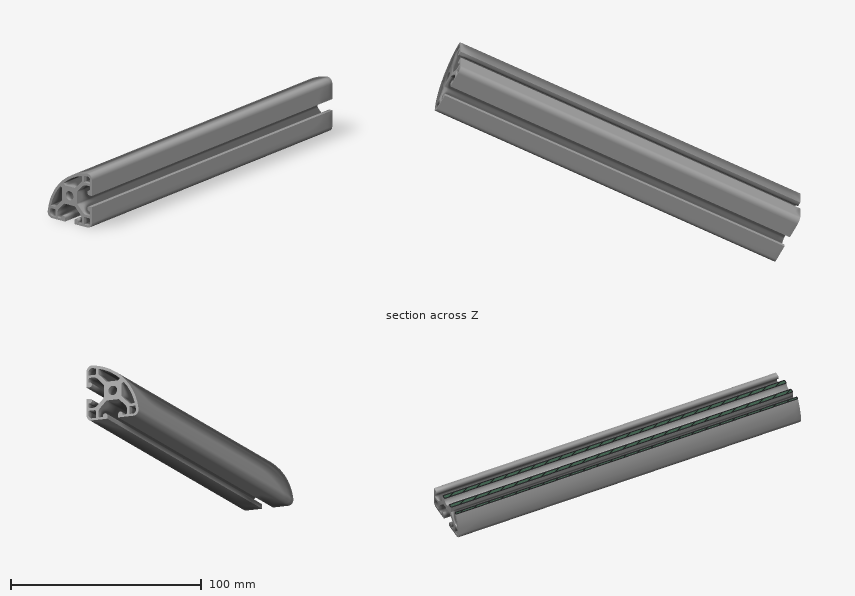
import cadquery as cq
import math

length = 200.0
size = 30.0
half = size / 2
arc_radius = size
edge_radius = 3.0

arc_wall = 1.5
face_wall = 1.2
core_half = 5.1
core_bore_diameter = 5.0
rib_thickness = 2.2
arc_rib_thickness = 2.9
pocket_fillet = 0.3

slot_opening = 6.2
slot_half_width = 8.2
lip_width = 2.6
lip_depth = 3.1
slot_fillet = 0.8
core_blend_radius = 1.0
wall_blend_radius = 3.5

chamber_start = 9.6
chamber_inner_radius = 0.8

rib_offset = rib_thickness / math.sqrt(2)
arc_rib_offset = arc_rib_thickness / math.sqrt(2)

face_inner = half - face_wall
arc_inner_radius = arc_radius - arc_wall
chamber_outer_radius = edge_radius - face_wall


def extrude_outline(outline):
    """Extrude a closed XZ outline over the full length, centred on Y = 0."""
    return outline.extrude(length / 2, both=True)


def section():
    """Workplane of the section, with local axes along X and Z."""
    return cq.Workplane("XZ")


def round_edges(body, radius, points):
    """Round the lengthwise edges that pass through the given XZ points."""
    for x, z in points:
        edge = body.edges("|Y").edges(cq.selectors.NearestToPointSelector((x, 0, z)))
        body = edge.fillet(radius)
    return body


def flip_about_diagonal(body):
    """Turn over about the section's diagonal of symmetry, swapping X and -Z."""
    return body.rotate((0, 0, 0), (1, 0, -1), 180)


def quarter_disc(radius):
    """Quarter disc around the slotted corner of the section."""
    diagonal = radius / math.sqrt(2)
    outline = (
        section()
        .moveTo(half, -half)
        .lineTo(half - radius, -half)
        .threePointArc((half - diagonal, diagonal - half), (half, radius - half))
        .close()
    )
    return extrude_outline(outline)


def outer_body():
    """Solid quarter-round bar with rounded corners."""
    body = quarter_disc(arc_radius)
    return round_edges(body, edge_radius, [(-half, -half), (half, half), (half, -half)])


def slot():
    """Undercut slot in the +X face, with ribs blended into its walls."""
    rib_end = (slot_half_width + rib_offset, slot_half_width)
    core_corner = (core_half, core_half - rib_offset)
    cavity = [core_corner, rib_end, (face_inner, slot_half_width)]
    lower_cavity = [(x, -z) for x, z in reversed(cavity)]
    body = extrude_outline(section().polyline(cavity + lower_cavity).close())
    for side in (1, -1):
        for (x, z), radius in zip(cavity, (core_blend_radius, wall_blend_radius, slot_fillet)):
            body = round_edges(body, radius, [(x, side * z)])
    opening = section().center(half - lip_depth / 2, 0).rect(lip_depth, slot_opening)
    body = body.union(extrude_outline(opening))
    for side in (1, -1):
        body = body.cut(lip(side))
    return body


def lip(side):
    """Round-ended bead along the inside of the slot opening."""
    near = side * slot_opening / 2
    far = side * (slot_opening / 2 + lip_width)
    end_centre = half - lip_depth + lip_width / 2
    outline = (
        section()
        .moveTo(half, near)
        .lineTo(end_centre, near)
        .threePointArc((half - lip_depth, (near + far) / 2), (end_centre, far))
        .lineTo(half, far)
        .close()
    )
    return extrude_outline(outline)


def arc_pocket():
    """Hollow above the core, under the quarter-round face."""
    outline = section().polyline([
        (arc_rib_offset - core_half, core_half),
        (core_half - rib_offset, core_half),
        (slot_half_width, slot_half_width + rib_offset),
        (slot_half_width, half),
        (arc_rib_offset - half, half),
    ]).close()
    body = extrude_outline(outline).intersect(quarter_disc(arc_inner_radius))
    return body.edges("|Y").fillet(pocket_fillet)


def tip_chamber():
    """Hollow in the upper tip, following the quarter-round and its tip rounding."""
    inside_face = extrude_outline(section().rect(2 * face_inner, size))
    body = quarter_disc(arc_inner_radius).intersect(inside_face)
    body = round_edges(body, chamber_outer_radius, [(face_inner, half)])
    middle = (chamber_start + half) / 2
    width = half - chamber_start
    return body.intersect(extrude_outline(section().center(middle, middle).rect(width, width)))


def corner_chamber():
    """Hollow in the corner between the two slots."""
    middle = (chamber_start + face_inner) / 2
    width = face_inner - chamber_start
    body = extrude_outline(section().center(middle, -middle).rect(width, width))
    body = round_edges(body, chamber_inner_radius, [(chamber_start, -chamber_start)])
    return round_edges(body, chamber_outer_radius, [(face_inner, -face_inner)])


result = outer_body()
for cutter in (slot(), arc_pocket(), tip_chamber()):
    result = result.cut(cutter).cut(flip_about_diagonal(cutter))
result = result.cut(corner_chamber())
result = result.cut(extrude_outline(section().circle(core_bore_diameter / 2)))